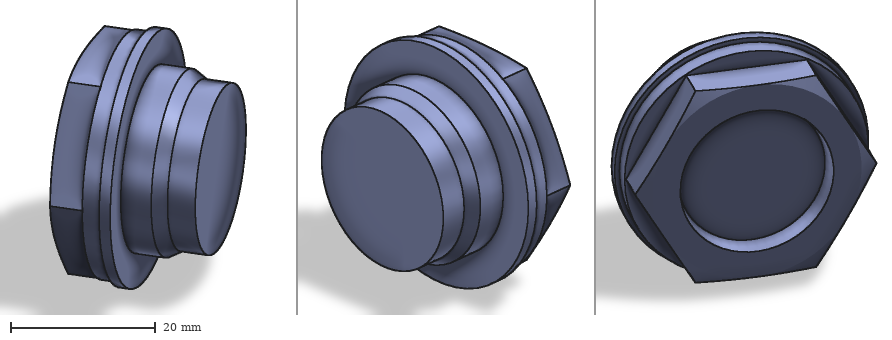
import cadquery as cq
import math

TOTAL_LENGTH = 20.01
HEAD_HEIGHT = 5.35
FLANGE_THICKNESS = 2.65
SEAL_THICKNESS = 1.6
BODY_LENGTH = 4.4
CONE_LENGTH = 2.0
SPIGOT_LENGTH = (
    TOTAL_LENGTH - HEAD_HEIGHT - FLANGE_THICKNESS - SEAL_THICKNESS - BODY_LENGTH - CONE_LENGTH
)

FLANGE_DIAMETER = 35.0
SEAL_DIAMETER = 36.4
BODY_DIAMETER = 26.44
SPIGOT_DIAMETER = 24.1

ACROSS_FLATS = 30.0
ACROSS_CORNERS = ACROSS_FLATS / math.cos(math.radians(30))
CORNER_CHAMFER_ANGLE = 15.0

RECESS_MOUTH_DIAMETER = 22.0
RECESS_FLOOR_DIAMETER = 21.0
RECESS_DEPTH = 2.65


def revolve_about_x(profile):
    """Revolve a closed (x, radius) profile once around the X axis."""
    return cq.Workplane("XY").polyline(profile).close().revolve(360, (0, 0, 0), (1, 0, 0))


def hexagon_head():
    """Hexagon with flats facing +Z and -Z, its outer corners turned to a cone."""
    prism = cq.Workplane("YZ").polygon(6, ACROSS_CORNERS).extrude(HEAD_HEIGHT)
    flat_radius = ACROSS_FLATS / 2
    corner_radius = ACROSS_CORNERS / 2
    chamfer_depth = (corner_radius - flat_radius) * math.tan(math.radians(CORNER_CHAMFER_ANGLE))
    turned_envelope = revolve_about_x([
        (0, 0),
        (0, flat_radius),
        (chamfer_depth, corner_radius),
        (HEAD_HEIGHT, corner_radius),
        (HEAD_HEIGHT, 0),
    ])
    return prism.intersect(turned_envelope)


def stepped_plug():
    """Flange, sealing ring, body, lead-in cone and spigot behind the head."""
    flange_start = HEAD_HEIGHT
    seal_start = flange_start + FLANGE_THICKNESS
    body_start = seal_start + SEAL_THICKNESS
    cone_start = body_start + BODY_LENGTH
    spigot_start = cone_start + CONE_LENGTH
    spigot_end = spigot_start + SPIGOT_LENGTH
    return revolve_about_x([
        (flange_start, 0),
        (flange_start, FLANGE_DIAMETER / 2),
        (seal_start, FLANGE_DIAMETER / 2),
        (seal_start, SEAL_DIAMETER / 2),
        (body_start, SEAL_DIAMETER / 2),
        (body_start, BODY_DIAMETER / 2),
        (cone_start, BODY_DIAMETER / 2),
        (spigot_start, SPIGOT_DIAMETER / 2),
        (spigot_end, SPIGOT_DIAMETER / 2),
        (spigot_end, 0),
    ])


def head_recess():
    """Shallow blind recess that narrows toward its flat floor."""
    return revolve_about_x([
        (0, 0),
        (0, RECESS_MOUTH_DIAMETER / 2),
        (RECESS_DEPTH, RECESS_FLOOR_DIAMETER / 2),
        (RECESS_DEPTH, 0),
    ])


result = hexagon_head().union(stepped_plug()).cut(head_recess())